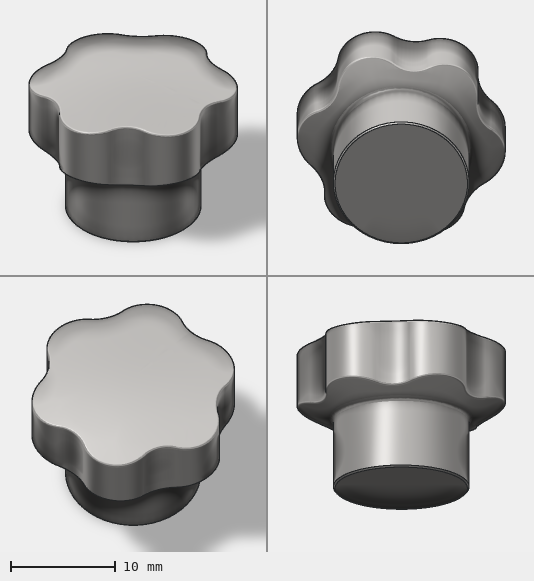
import cadquery as cq
import math

total_height = 15.0
head_diameter = 20.0

lobe_count = 6
lobe_radius = 3.5
valley_radius = 3.5
first_lobe_angle = 90.0

top_sphere_radius = 40.0
underside_sphere_radius = 23.0
underside_lowest_z = 6.05

stem_diameter = 13.0

rim_fillet = 0.25
neck_fillet = 0.5
stem_end_chamfer = 0.15

head_radius = head_diameter / 2
stem_radius = stem_diameter / 2
half_pitch = 180.0 / lobe_count
lobe_center_radius = head_radius - lobe_radius
half_lobe_gap = lobe_center_radius * math.sin(math.radians(half_pitch))
valley_center_radius = lobe_center_radius * math.cos(math.radians(half_pitch)) + math.sqrt(
    (lobe_radius + valley_radius) ** 2 - half_lobe_gap**2
)
valley_bottom_radius = valley_center_radius - valley_radius


def polar(radius, angle):
    """Point at a radius and an angle in degrees."""
    return cq.Vector(
        radius * math.cos(math.radians(angle)),
        radius * math.sin(math.radians(angle)),
    )


def tangent_point(lobe_angle, valley_angle):
    """Point where a lobe arc meets a neighbouring valley arc."""
    lobe_center = polar(lobe_center_radius, lobe_angle)
    valley_center = polar(valley_center_radius, valley_angle)
    lobe_share = lobe_radius / (lobe_radius + valley_radius)
    return lobe_center + (valley_center - lobe_center) * lobe_share


def lobed_prism():
    """Full-height prism with the wavy head outline."""
    start = tangent_point(first_lobe_angle, first_lobe_angle - half_pitch)
    outline = cq.Workplane("XY").moveTo(start.x, start.y)
    for index in range(lobe_count):
        lobe_angle = first_lobe_angle + 2 * half_pitch * index
        valley_angle = lobe_angle + half_pitch
        next_lobe_angle = valley_angle + half_pitch
        lobe_tip = polar(head_radius, lobe_angle)
        lobe_end = tangent_point(lobe_angle, valley_angle)
        valley_bottom = polar(valley_bottom_radius, valley_angle)
        valley_end = tangent_point(next_lobe_angle, valley_angle)
        outline = outline.threePointArc(lobe_tip.toTuple()[:2], lobe_end.toTuple()[:2])
        outline = outline.threePointArc(valley_bottom.toTuple()[:2], valley_end.toTuple()[:2])
    return outline.close().extrude(total_height)


def make_head():
    """Lobed head between two spherical faces, with rounded rims."""
    top_sphere = cq.Workplane("XY").sphere(top_sphere_radius)
    top_sphere = top_sphere.translate((0, 0, total_height - top_sphere_radius))
    underside_sphere = cq.Workplane("XY").sphere(underside_sphere_radius)
    underside_sphere = underside_sphere.translate((0, 0, underside_lowest_z + underside_sphere_radius))
    head = lobed_prism().intersect(top_sphere).intersect(underside_sphere)
    return head.faces("%SPHERE").edges().fillet(rim_fillet)


def make_stem():
    """Round stem that runs up into the head, chamfered at its free end."""
    stem_top_z = (underside_lowest_z + total_height) / 2
    stem = cq.Workplane("XY").circle(stem_radius).extrude(stem_top_z)
    return stem.faces("<Z").edges().chamfer(stem_end_chamfer)


def neck_edges(knob):
    """Circular edge where the stem enters the underside of the head."""
    neck_z = (
        underside_lowest_z
        + underside_sphere_radius
        - math.sqrt(underside_sphere_radius**2 - stem_radius**2)
    )
    margin = 0.02
    box_corner = stem_radius + margin
    selector = cq.selectors.BoxSelector(
        (-box_corner, -box_corner, neck_z - margin),
        (box_corner, box_corner, neck_z + margin),
        boundingbox=True,
    )
    return knob.edges(selector)


knob = make_head().union(make_stem())
result = neck_edges(knob).fillet(neck_fillet)